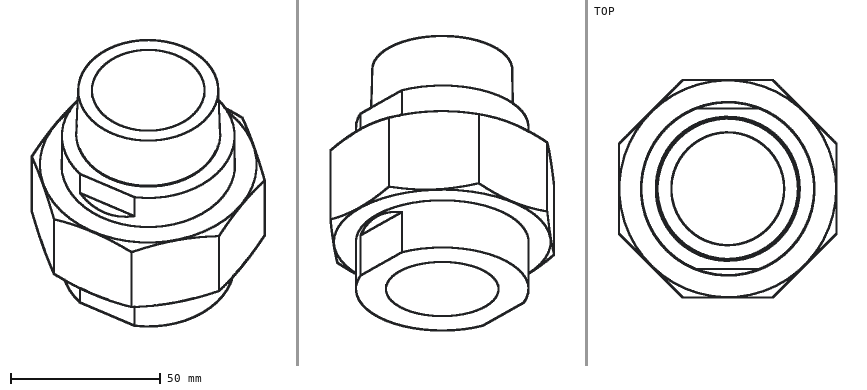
import cadquery as cq
import math

total_height = 84.0
nut_bottom = 18.1
nut_top = 48.1
shoulder_top = 62.0
thread_bottom = 62.9
joint_height = (nut_bottom + nut_top) / 2

bore_radius = 18.9
body_radius = 29.0
neck_radius = 23.7
thread_bottom_radius = 24.2
thread_taper = 1 / 16
thread_top_radius = thread_bottom_radius - (total_height - thread_bottom) * thread_taper / 2

flat_distance = 27.0
lower_flat_end = 15.4
upper_flat_end = 52.8
flat_runout = body_radius - flat_distance

nut_sides = 8
nut_across_flats = 73.0
nut_corner_radius = nut_across_flats / 2 / math.cos(math.pi / nut_sides)
nut_face_radius = 36.4
nut_chamfer_angle = math.radians(30)
nut_chamfer_height = (nut_corner_radius - nut_face_radius) * math.tan(nut_chamfer_angle)
nut_clearance = 0.2


def revolve_profile(points):
    """Turn an (r, z) outline about the Z axis."""
    return cq.Workplane("XZ").polyline(points).close().revolve(360, (0, 0), (0, 1))


def flat_cutters(open_end, flat_end):
    """Two mirrored cutters running from an open end to a 45 degree run-out."""
    runout_end = flat_end + math.copysign(flat_runout, flat_end - open_end)
    front = (
        cq.Workplane("YZ")
        .moveTo(-flat_distance, open_end)
        .lineTo(-flat_distance, flat_end)
        .lineTo(-body_radius, runout_end)
        .lineTo(-body_radius, open_end)
        .close()
        .extrude(body_radius, both=True)
    )
    return front.union(front.mirror("XZ"))


def make_lower_tailpiece():
    tube = revolve_profile([
        (bore_radius, 0),
        (body_radius, 0),
        (body_radius, joint_height),
        (bore_radius, joint_height),
    ])
    return tube.cut(flat_cutters(0, lower_flat_end))


def make_upper_tailpiece():
    tube = revolve_profile([
        (bore_radius, joint_height),
        (body_radius, joint_height),
        (body_radius, shoulder_top),
        (neck_radius, shoulder_top),
        (neck_radius, thread_bottom),
        (thread_bottom_radius, thread_bottom),
        (thread_top_radius, total_height),
        (bore_radius, total_height),
    ])
    return tube.cut(flat_cutters(shoulder_top, upper_flat_end))


def make_nut():
    octagon = (
        cq.Workplane("XY", origin=(0, 0, nut_bottom))
        .transformed(rotate=(0, 0, 180 / nut_sides))
        .polygon(nut_sides, 2 * nut_corner_radius)
        .extrude(nut_top - nut_bottom)
    )
    envelope = revolve_profile([
        (body_radius, nut_bottom),
        (nut_face_radius, nut_bottom),
        (nut_corner_radius, nut_bottom + nut_chamfer_height),
        (nut_corner_radius, nut_top - nut_chamfer_height),
        (nut_face_radius, nut_top),
        (body_radius + nut_clearance, nut_top),
        (body_radius + nut_clearance, joint_height),
        (body_radius, joint_height),
    ])
    return octagon.intersect(envelope)


lower_tailpiece = make_lower_tailpiece()
upper_tailpiece = make_upper_tailpiece()
union_nut = make_nut()

result = cq.Compound.makeCompound([
    lower_tailpiece.solids().val(),
    upper_tailpiece.solids().val(),
    union_nut.solids().val(),
])